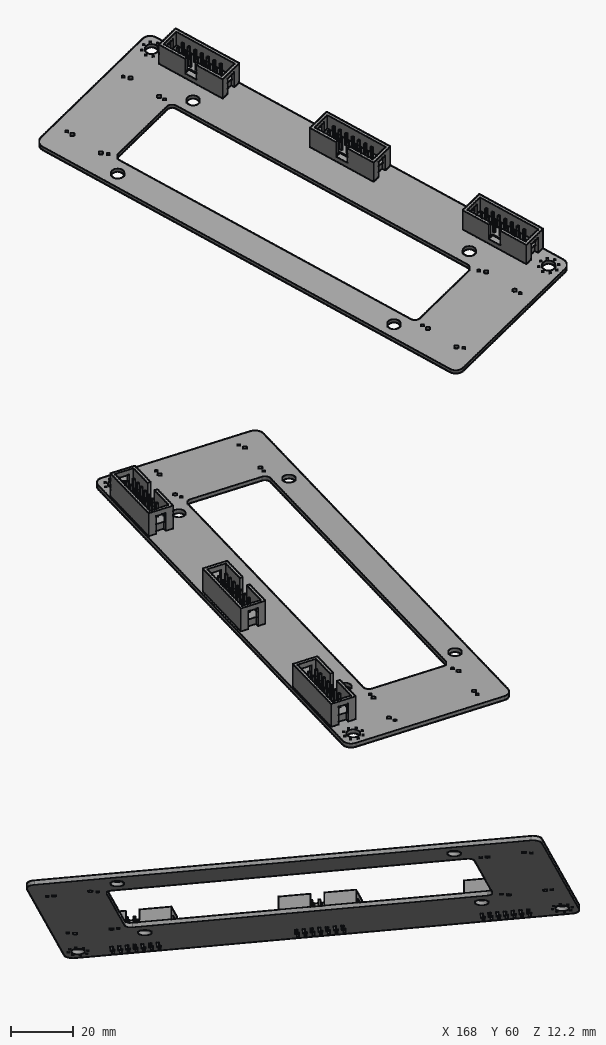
import cadquery as cq
import math

BOARD_LENGTH = 168.0
BOARD_WIDTH = 60.0
BOARD_THICKNESS = 1.6
BOARD_CORNER_RADIUS = 3.0

DISPLAY_Y = -5.0
WINDOW_LENGTH = 120.0
WINDOW_WIDTH = 29.9
WINDOW_CORNER_RADIUS = 2.0
SCREW_HOLE_DIAMETER = 4.4
SCREW_SPACING_X = 109.9
SCREW_SPACING_Y = 40.0

MOUNT_X = 79.0
MOUNT_Y = 25.0
VIA_COUNT = 8
VIA_DIAMETER = 0.6
VIA_RING_RADIUS = 3.2

LEAD_GROUP_X = 70.7
THIN_LEAD_DIAMETER = 1.0
WIDE_LEAD_DIAMETER = 1.45
THIN_LEAD_SPACING_X = 16.5
THIN_LEAD_SPACING_Y = 29.9
WIDE_LEAD_SPACING_X = 12.1
WIDE_LEAD_OFFSET_Y = 1.0

HEADER_POSITIONS = [(-60.3, 25.4), (0.0, 25.0), (60.5, 25.4)]
HEADER_LENGTH = 25.4
HEADER_WIDTH = 8.9
HEADER_WALL = 1.1
HEADER_TOP = 11.0
HEADER_CLEARANCE = 0.42
CAVITY_DEPTH = 6.2

KEY_WIDTH = 4.5
KEY_REACH = 2.0
KEY_DEPTH = 6.7

END_SLOT_WIDTH = 3.5
END_SLOT_REACH = 1.3
END_SLOT_TOP_GAP = 2.0

PIN_COLUMNS = 7
PIN_ROWS = 2
PIN_PITCH = 2.5
PIN_SIZE = 0.7
PIN_CHAMFER = 0.2
PIN_TOP_GAP = 0.8
PIN_PROTRUSION = 1.2
PIN_HOLE_DIAMETER = 1.0

HEADER_BOTTOM = BOARD_THICKNESS + HEADER_CLEARANCE


def box_from(x_size, y_size, z_bottom, z_top, x=0.0, y=0.0):
    """Box centred on (x, y) and reaching from z_bottom to z_top."""
    return (
        cq.Workplane("XY")
        .workplane(offset=z_bottom)
        .center(x, y)
        .rect(x_size, y_size)
        .extrude(z_top - z_bottom)
    )


def drills(points, diameter):
    """Cylinders through the board thickness at the given points."""
    return cq.Workplane("XY").pushPoints(points).circle(diameter / 2).extrude(BOARD_THICKNESS)


def rectangle_corners(x_spacing, y_spacing, x=0.0, y=0.0):
    return [(x + i * x_spacing / 2, y + j * y_spacing / 2) for i in (-1, 1) for j in (-1, 1)]


def via_points(mount_x):
    angles = [2 * math.pi * i / VIA_COUNT for i in range(VIA_COUNT)]
    return [
        (mount_x + VIA_RING_RADIUS * math.cos(a), MOUNT_Y + VIA_RING_RADIUS * math.sin(a))
        for a in angles
    ]


def wide_lead_points(group_x):
    """The back-left hole is shifted back and the front-right hole forward."""
    left = group_x - WIDE_LEAD_SPACING_X / 2
    right = group_x + WIDE_LEAD_SPACING_X / 2
    back = DISPLAY_Y + THIN_LEAD_SPACING_Y / 2
    front = DISPLAY_Y - THIN_LEAD_SPACING_Y / 2
    return [
        (left, back + WIDE_LEAD_OFFSET_Y),
        (right, back),
        (left, front),
        (right, front - WIDE_LEAD_OFFSET_Y),
    ]


def pin_points():
    """Pin centres relative to the centre of a header."""
    return [
        ((column - (PIN_COLUMNS - 1) / 2) * PIN_PITCH, (row - (PIN_ROWS - 1) / 2) * PIN_PITCH)
        for column in range(PIN_COLUMNS)
        for row in range(PIN_ROWS)
    ]


def make_board():
    board = box_from(BOARD_LENGTH, BOARD_WIDTH, 0, BOARD_THICKNESS)
    board = board.edges("|Z").fillet(BOARD_CORNER_RADIUS)

    window = box_from(WINDOW_LENGTH, WINDOW_WIDTH, 0, BOARD_THICKNESS, y=DISPLAY_Y)
    board = board.cut(window.edges("|Z").fillet(WINDOW_CORNER_RADIUS))

    screws = rectangle_corners(SCREW_SPACING_X, SCREW_SPACING_Y, y=DISPLAY_Y)
    mounts = [(-MOUNT_X, MOUNT_Y), (MOUNT_X, MOUNT_Y)]
    board = board.cut(drills(screws + mounts, SCREW_HOLE_DIAMETER))

    for mount_x in (-MOUNT_X, MOUNT_X):
        board = board.cut(drills(via_points(mount_x), VIA_DIAMETER))

    for group_x in (-LEAD_GROUP_X, LEAD_GROUP_X):
        thin = rectangle_corners(THIN_LEAD_SPACING_X, THIN_LEAD_SPACING_Y, group_x, DISPLAY_Y)
        board = board.cut(drills(thin, THIN_LEAD_DIAMETER))
        board = board.cut(drills(wide_lead_points(group_x), WIDE_LEAD_DIAMETER))

    for header_x, header_y in HEADER_POSITIONS:
        pin_holes = [(header_x + x, header_y + y) for x, y in pin_points()]
        board = board.cut(drills(pin_holes, PIN_HOLE_DIAMETER))
    return board


def make_header(position):
    """Open-topped box with its pins, as one solid standing just clear of the board."""
    header = box_from(HEADER_LENGTH, HEADER_WIDTH, HEADER_BOTTOM, HEADER_TOP)

    cavity = box_from(
        HEADER_LENGTH - 2 * HEADER_WALL,
        HEADER_WIDTH - 2 * HEADER_WALL,
        HEADER_TOP - CAVITY_DEPTH,
        HEADER_TOP,
    )
    header = header.cut(cavity)

    key_y = (KEY_REACH - HEADER_WIDTH) / 2
    header = header.cut(box_from(KEY_WIDTH, KEY_REACH, HEADER_TOP - KEY_DEPTH, HEADER_TOP, y=key_y))

    for side in (-1, 1):
        slot_x = side * (HEADER_LENGTH - END_SLOT_REACH) / 2
        slot_top = HEADER_TOP - END_SLOT_TOP_GAP
        header = header.cut(box_from(END_SLOT_REACH, END_SLOT_WIDTH, HEADER_BOTTOM, slot_top, x=slot_x))

    pin_length = HEADER_TOP - PIN_TOP_GAP + PIN_PROTRUSION
    pins = (
        cq.Workplane("XY")
        .workplane(offset=-PIN_PROTRUSION)
        .pushPoints(pin_points())
        .rect(PIN_SIZE, PIN_SIZE)
        .extrude(pin_length)
        .faces(">Z")
        .chamfer(PIN_CHAMFER)
    )
    x, y = position
    return header.union(pins).translate((x, y, 0))


board = make_board()
headers = [make_header(position) for position in HEADER_POSITIONS]

result = cq.Compound.makeCompound([board.val(), *[header.val() for header in headers]])